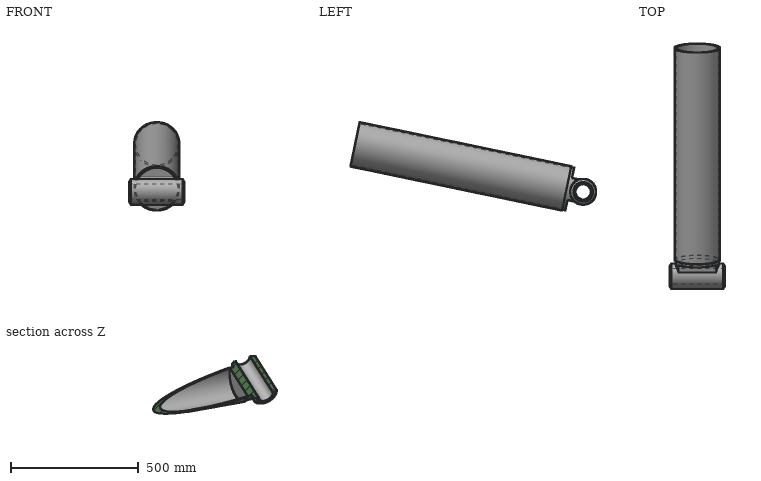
import cadquery as cq
import math

SLEEVE_LENGTH = 215.45
SLEEVE_DIAMETER = 101.6
SLEEVE_BORE = 60.0
SLEEVE_END_DIAMETER = 76.2
SLEEVE_CHAMFER_ANGLE = 30.0

TUBE_TILT = 11.76
TUBE_OUTER_DIAMETER = 177.8
TUBE_INNER_DIAMETER = 165.1
TUBE_START = 66.04
TUBE_LENGTH = 845.7

CAP_DIAMETER = 170.18
CAP_THICKNESS = 12.7
NECK_HEIGHT = 88.9
NECK_FILLET = 5.08


def make_sleeve():
    """Solid sleeve body with a chamfer at each end."""
    chamfer_depth = (SLEEVE_DIAMETER - SLEEVE_END_DIAMETER) / 2
    chamfer_length = chamfer_depth * math.tan(math.radians(SLEEVE_CHAMFER_ANGLE))
    half_length = SLEEVE_LENGTH / 2
    shoulder = half_length - chamfer_length
    profile = (
        cq.Workplane("XY")
        .moveTo(-half_length, 0)
        .lineTo(-half_length, SLEEVE_END_DIAMETER / 2)
        .lineTo(-shoulder, SLEEVE_DIAMETER / 2)
        .lineTo(shoulder, SLEEVE_DIAMETER / 2)
        .lineTo(half_length, SLEEVE_END_DIAMETER / 2)
        .lineTo(half_length, 0)
        .close()
    )
    return profile.revolve(360, (0, 0, 0), (1, 0, 0))


def cylinder_along_y(diameter, start, length):
    """Cylinder on the Y axis that begins at Y = start."""
    return cq.Workplane("XZ", origin=(0, start, 0)).circle(diameter / 2).extrude(-length)


def make_tube():
    """Plain tube, open at its far end."""
    outside = cylinder_along_y(TUBE_OUTER_DIAMETER, TUBE_START, TUBE_LENGTH)
    inside = cylinder_along_y(TUBE_INNER_DIAMETER, TUBE_START, TUBE_LENGTH)
    return outside.cut(inside)


def make_neck_relief():
    """Block milled away above the neck, rounded where it meets the cap face."""
    cap_face = TUBE_START - CAP_THICKNESS
    relief = (
        cq.Workplane("XY", origin=(0, 0, NECK_HEIGHT / 2))
        .rect(2 * CAP_DIAMETER, 2 * cap_face)
        .extrude(CAP_DIAMETER)
    )
    return relief.faces(">Y").edges("<Z").fillet(NECK_FILLET)


def make_cap_and_neck():
    """Round cap with a flat-sided neck that runs to the sleeve axis."""
    blank = cylinder_along_y(CAP_DIAMETER, 0, TUBE_START)
    relief = make_neck_relief()
    return blank.cut(relief).cut(relief.mirror("XY"))


arm = make_tube().union(make_cap_and_neck()).rotate((0, 0, 0), (1, 0, 0), TUBE_TILT)
sleeve_bore = cq.Workplane("YZ").circle(SLEEVE_BORE / 2).extrude(SLEEVE_LENGTH / 2, both=True)

result = arm.union(make_sleeve()).cut(sleeve_bore)